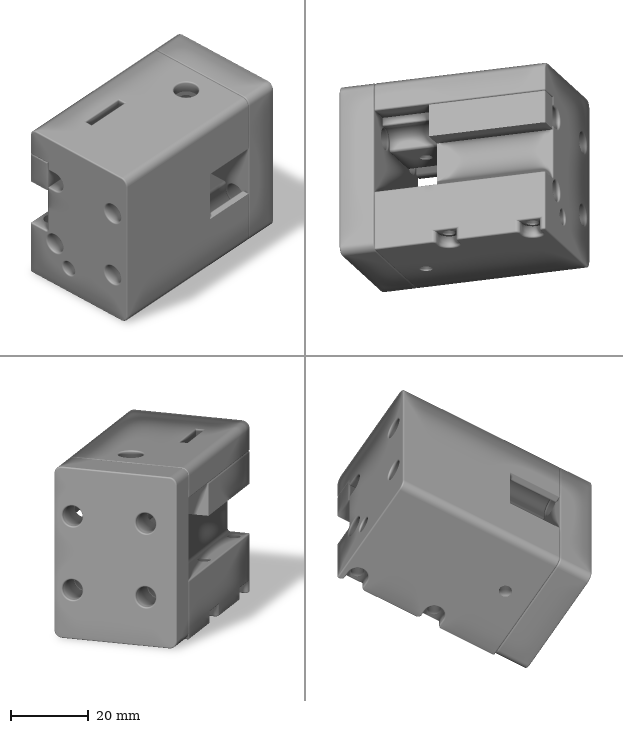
import cadquery as cq
import math

width = 33.5
length = 56.5
height = 46.0
cap_length = 9.5
housing_length = length - cap_length
corner_radius = 2.05
edge_radius = 0.4

rod_diameter = 5.5
rod_left_x = 8.5
rod_low_z = 13.2
rod_pitch_x = 20.05
rod_pitch_z = 19.8
rod_high_z = rod_low_z + rod_pitch_z

slot_depth = 6.0
slot_corner_radius = 0.7
slot_floor_z = 15.9
slot_top_z = 37.95
window_front_y = 31.9
window_top_z = 30.4
groove_edge_radius = 0.7

clamp_bottom_z = 29.15

screw_diameter = 3.4
head_diameter = 6.5
top_screw_x = 18.55
top_screw_y = 39.45
top_head_depth = 3.0
ledge_screw_x = 2.75
ledge_screw_ys = (4.45, 27.4)
ledge_head_diameter = 5.5
ledge_head_depth = 3.1
ledge_exit_radius = 1.0

strap_thickness = 2.05
strap_width = 12.6
strap_right_x = 10.5
strap_middle_y = 18.25
strap_bend_radius = 6.5 / 2

dowel_diameter = 4.0
dowel_depth = 10.0
dowel_x = 13.3
dowel_z = 7.6

margin = 0.05

rod_xs = (rod_left_x, rod_left_x + rod_pitch_x)


def box(x0, x1, y0, y1, z0, z1):
    """Axis-parallel box between two opposite corners."""
    return cq.Workplane("XY").box(x1 - x0, y1 - y0, z1 - z0, centered=False).translate((x0, y0, z0))


def bore_along_y(x, z, diameter, y0, y1):
    """Cylinder along Y from y0 to y1."""
    return cq.Workplane("XZ", origin=(x, y0, z)).circle(diameter / 2).extrude(y0 - y1)


def bore_along_z(x, y, diameter, z0, z1):
    """Cylinder along Z from z0 to z1."""
    return cq.Workplane("XY", origin=(x, y, z0)).circle(diameter / 2).extrude(z1 - z0)


def rounded_block():
    body = box(0, width, 0, housing_length, 0, height)
    return body.edges("|Y and (>Z or >X)").fillet(corner_radius)


def side_slot():
    slot = box(0, slot_depth, 0, housing_length, slot_floor_z, slot_top_z)
    return slot.edges("|Y and >X and <Z").fillet(slot_corner_radius)


def window():
    """Opening across the housing, extended to each rod hole by a groove with rounded edges."""
    opening = box(0, width, window_front_y, housing_length, slot_floor_z, window_top_z)
    for x in rod_xs:
        groove = box(
            x - rod_diameter / 2, x + rod_diameter / 2,
            window_front_y, housing_length, rod_low_z, rod_high_z,
        )
        opening = opening.union(groove)
    inner_corners = cq.selectors.BoxSelector(
        (rod_left_x, window_front_y, slot_floor_z - margin),
        (width - margin, housing_length, window_top_z + margin),
    )
    return opening.edges("|Y").edges(inner_corners).fillet(groove_edge_radius)


def cut_rod_holes(body):
    for x in rod_xs:
        for z in (rod_low_z, rod_high_z):
            body = body.cut(bore_along_y(x, z, rod_diameter, 0, housing_length))
    side_opening = box(
        slot_depth - edge_radius, rod_left_x, 0, housing_length,
        rod_high_z - rod_diameter / 2, rod_high_z + rod_diameter / 2,
    )
    body = body.cut(side_opening)
    opening_edges = cq.selectors.BoxSelector(
        (slot_depth - margin, 0, rod_high_z - rod_diameter / 2 - margin),
        (slot_depth + margin, housing_length, rod_high_z + rod_diameter / 2 + margin),
    )
    return body.edges("|Y").edges(opening_edges).fillet(edge_radius)


def cut_ledge_screws(body):
    for y in ledge_screw_ys:
        hole = bore_along_z(ledge_screw_x, y, screw_diameter, 0, slot_floor_z)
        head = bore_along_z(ledge_screw_x, y, ledge_head_diameter, 0, ledge_head_depth)
        side_exit = box(
            0, ledge_screw_x, y - ledge_head_diameter / 2, y + ledge_head_diameter / 2,
            0, ledge_head_depth,
        )
        body = body.cut(hole).cut(head).cut(side_exit)
    mouth_edges = cq.selectors.BoxSelector(
        (-margin, margin, 0), (margin, housing_length - margin, ledge_head_depth)
    )
    return body.edges("|Z").edges(mouth_edges).fillet(ledge_exit_radius)


def round_edges(body):
    """Round every sharp edge of the front, back, left and bottom faces."""
    left_tangent = cq.selectors.BoxSelector(
        (-margin, 0, height - corner_radius - margin),
        (margin, housing_length, height - corner_radius + margin),
    )
    bottom_tangent = cq.selectors.BoxSelector(
        (width - corner_radius - margin, 0, -margin),
        (width - corner_radius + margin, housing_length, margin),
    )
    sharp = body.faces("<X or <Y or >Y or <Z").edges()
    smooth = sharp.edges("|Y").edges(left_tangent + bottom_tangent)
    edges = [edge for edge in sharp.vals() if not any(edge.isSame(other) for other in smooth.vals())]
    return body.newObject(edges).fillet(edge_radius)


def strap_channel():
    """Constant-thickness channel, swept as a profile in XZ across the strap width."""
    inner_radius = strap_bend_radius - strap_thickness
    center_x = strap_right_x - strap_bend_radius
    center_z = slot_top_z + inner_radius
    diagonal = math.sqrt(0.5)
    return (
        cq.Workplane("XZ", origin=(0, strap_middle_y, 0))
        .moveTo(strap_right_x, height)
        .lineTo(strap_right_x, center_z)
        .threePointArc(
            (center_x + strap_bend_radius * diagonal, center_z - strap_bend_radius * diagonal),
            (center_x, center_z - strap_bend_radius),
        )
        .lineTo(slot_depth, center_z - strap_bend_radius)
        .lineTo(slot_depth, slot_top_z)
        .lineTo(center_x, slot_top_z)
        .threePointArc(
            (center_x + inner_radius * diagonal, center_z - inner_radius * diagonal),
            (center_x + inner_radius, center_z),
        )
        .lineTo(center_x + inner_radius, height)
        .close()
        .extrude(strap_width / 2, both=True)
    )


def cut_top_features(body):
    screw = bore_along_z(top_screw_x, top_screw_y, screw_diameter, 0, height)
    head = bore_along_z(top_screw_x, top_screw_y, head_diameter, height - top_head_depth, height)
    body = body.cut(screw).cut(head).cut(strap_channel())
    rims = cq.selectors.BoxSelector(
        (corner_radius + margin, corner_radius, height - margin),
        (width - corner_radius - margin, housing_length - corner_radius, height + margin),
    )
    return body.faces(">Z").edges(rims).fillet(edge_radius)


def make_housing():
    body = rounded_block().cut(side_slot()).cut(window())
    body = cut_rod_holes(body)
    body = body.cut(bore_along_y(dowel_x, dowel_z, dowel_diameter, 0, dowel_depth))
    body = round_edges(cut_ledge_screws(body))
    return cut_top_features(body)


def make_cap():
    body = box(0, width, housing_length, length, 0, height)
    body = body.edges("|Y").fillet(corner_radius)
    for x in rod_xs:
        for z in (rod_low_z, rod_high_z):
            body = body.cut(bore_along_y(x, z, rod_diameter, housing_length, length))
    return body.faces("<Y or >Y").edges().fillet(edge_radius)


def make_clamp():
    body = box(0, slot_depth, 0, window_front_y, clamp_bottom_z, slot_top_z)
    return body.edges("(<Y and (not <Z)) or (<X and >Z)").fillet(edge_radius)


housing = make_housing()
cap = make_cap()
clamp = make_clamp()
result = cq.Compound.makeCompound([housing.val(), cap.val(), clamp.val()])